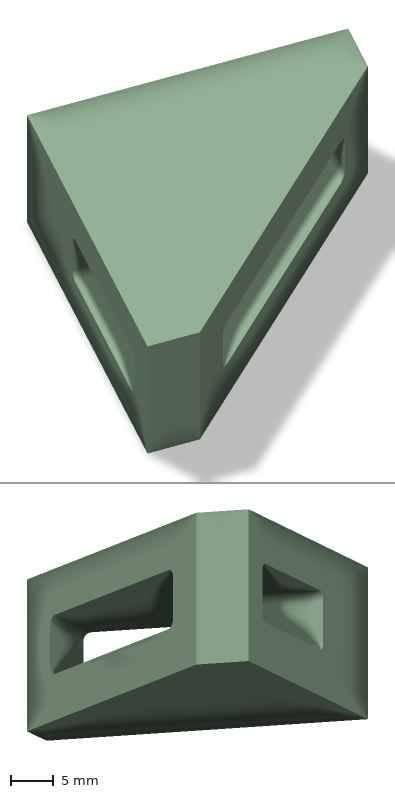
import cadquery as cq

leg = 40.0
height = 18.0
end_width = 6.5

slot_start = 15.05
slot_end = 35.4
slot_height = 7.0
slot_radius = 1.0

slot_length = slot_end - slot_start
slot_center = (slot_start + slot_end) / 2


def make_block():
    """Right-angle block with both sharp tips cut square."""
    outline = [(0, 0), (leg, 0), (leg, end_width), (end_width, leg), (0, leg)]
    return cq.Workplane("XY").polyline(outline).close().extrude(height)


def make_slot(axis, size_x, size_y, center_x, center_y):
    """Rounded bar along the given axis, cutting from a leg face to the sloping face."""
    return (
        cq.Workplane("XY")
        .box(size_x, size_y, slot_height)
        .edges("|" + axis)
        .fillet(slot_radius)
        .translate((center_x, center_y, height / 2))
    )


slot_along_y = make_slot("Y", slot_length, leg, slot_center, leg / 2)
slot_along_x = make_slot("X", leg, slot_length, leg / 2, slot_center)

result = make_block().cut(slot_along_y).cut(slot_along_x)